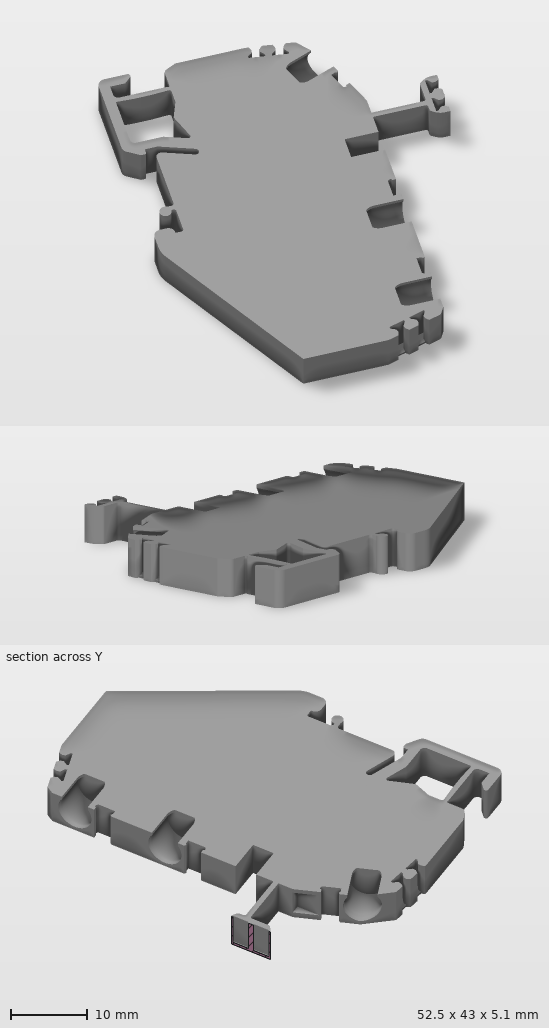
import cadquery as cq
import math

length = 52.5
height = 43.0
thickness = 5.1

top_y = 33.0
rail_y = 3.95
left_shelf_y = 8.9
foot_wall = 1.42
left_bevel_y = 10.65
left_bevel_x = 0.85

outer_radius = 1.0
edge_radius = 0.5
inner_radius = 0.65
small_radius = 0.3
lip_radius = 0.2

shoulder_end_x = 12.9
shoulder_start = (4.55, 29.8)
shoulder_tilt = math.degrees(math.atan2(top_y - shoulder_start[1], shoulder_end_x - shoulder_start[0]))

left_edge_bottom = (0.0, 20.5)
left_edge_top = (0.9, 26.75)
left_edge_blend = 12.0
right_edge_top = (50.2, 32.35)
right_edge_bottom = (length, 24.6)
right_bevel_x = 49.1

arm_slope = math.tan(math.radians(20.5))
arm_inner_x = 11.43
arm_inner_bend_y = 5.75
arm_outer_x = 12.83
arm_outer_bend_y = 4.6
arm_lip_x = 13.63
arm_lip_y = 2.85
arm_lip_bottom_y = 2.1
arm_toe_x = 12.25
arm_root_y = 9.4
gap_right_x = 13.6
gap_end_y = 9.56
gap_end_radius = 0.47
gap_mouth_radius = 0.7
hook_tip_width = 0.5
hook_top_y = 4.45
hook_shoulder_y = 3.48
window_peak = (8.7, 7.95)
window_ridge_x = 6.25
strap_left_x = 3.5
strap_right_x = 4.12
strap_bulge = 0.14
strap_relief = 0.17
strap_relief_height = 0.35
strap_relief_radius = 0.15

claw_x = 26.4
claw_throat_x = 27.45
claw_top_y = 2.82
claw_top_radius = 0.9
underside_start_x = 30.1
underside_blend = 3.5
underside_end_y = 13.0
knob_x = 23.62
knob_y = 2.57
knob_radius = 0.8
knob_neck_left = 22.92
knob_neck_right = 23.6
knob_neck_fillet = 0.35

stem_left = 15.05
stem_right = 15.8
stem_sink = 0.5
head_left = 11.27
head_right = 17.63
head_bottom_y = 40.42
head_side_y = 41.55
head_corner = 0.8
head_side_radius = 2.1

slot_left = 18.4
slot_right = 21.5
slot_floor_y = 28.4

bore_radius = 2.5
bore_z = 3.07
bore_depth = 5.2
slit_half_width = 1.95
slit_end_half_width = 1.5
slit_curve_length = 1.2
bore_overshoot = 1.5
bore_xs = (32.15, 45.7)
shoulder_bore_x = 4.35

snap_spacing = 4.17
snap_half_width = 1.27
snap_depth = 1.11
snap_ridge = 0.2
snap_ridge_depth = 0.25
snap_groove_depth = 0.75
snap_groove_half = 0.25

marker_mouth_half = 0.85
marker_neck_half = 0.55
marker_mouth_depth = 0.5
marker_neck_depth = 0.97
marker_wide_half = 1.12
marker_wide_depth = 1.5
marker_depth = 1.78
marker_floor_z = 0.5
marker_sill_z = 0.3
head_marker_xs = (12.9, 16.0)
left_marker_ys = (24.57, 21.47)
right_marker_ys = (29.82, 26.85)

cut_overshoot = 0.3

recess_floor_y = 31.75
recess_bottom_z = 0.85
recess_top_z = 4.45


def rounded_wire(corners):
    """Closed polygon through (x, y, radius) corners, each rounded with a tangent arc."""
    cuts = []
    for index, (x, y, radius) in enumerate(corners):
        corner = cq.Vector(x, y)
        before = (cq.Vector(*corners[index - 1][:2]) - corner).normalized()
        after = (cq.Vector(*corners[(index + 1) % len(corners)][:2]) - corner).normalized()
        half_angle = before.getAngle(after) / 2
        reach = radius / math.tan(half_angle)
        bisector = (before + after).normalized()
        middle = corner + bisector * (radius / math.sin(half_angle) - radius)
        cuts.append((corner + before * reach, middle, corner + after * reach, radius))
    outline = cq.Workplane("XY").moveTo(*cuts[0][2].toTuple()[:2])
    for start, middle, end, radius in cuts[1:] + cuts[:1]:
        outline = outline.lineTo(start.x, start.y)
        if radius > 0:
            outline = outline.threePointArc((middle.x, middle.y), (end.x, end.y))
    return outline.close()


def on_edge(start, end, y):
    """X on the straight edge from start to end at height y."""
    return start[0] + (end[0] - start[0]) * (y - start[1]) / (end[1] - start[1])


def placed(shape, x, y, turn):
    """Move a cutter drawn with its edge on the X axis, material below, to an edge point."""
    return shape.rotate((0, 0, 0), (0, 0, 1), turn).translate((x, y, 0))


def housing():
    gap_shift = arm_slope * (gap_end_y - arm_outer_bend_y)
    corners = [
        (hook_tip_width, hook_top_y, 0),
        (0, hook_top_y, small_radius),
        (0, 0, outer_radius),
        (arm_toe_x, 0, outer_radius),
        (arm_lip_x, arm_lip_bottom_y, lip_radius),
        (arm_lip_x, arm_lip_y, lip_radius),
        (arm_outer_x, arm_lip_y, 0),
        (arm_outer_x, arm_outer_bend_y, 0),
        (arm_outer_x + gap_shift, gap_end_y, gap_end_radius),
        (gap_right_x + arm_slope * (gap_end_y - rail_y), gap_end_y, gap_end_radius),
        (gap_right_x, rail_y, gap_mouth_radius),
        (claw_throat_x, rail_y, small_radius),
        (claw_throat_x, claw_top_y, 0),
        (claw_x, claw_top_y, claw_top_radius),
        (claw_x, 0, outer_radius),
        (underside_start_x, 0, underside_blend),
        (length, underside_end_y, 0),
        (*right_edge_bottom, 0),
        (*right_edge_top, edge_radius),
        (right_bevel_x, top_y, 0),
        (shoulder_end_x, top_y, 0),
        (*shoulder_start, 0),
        (*left_edge_top, small_radius),
        (*left_edge_bottom, left_edge_blend),
        (0, left_bevel_y, edge_radius),
        (left_bevel_x, left_shelf_y, inner_radius),
        (strap_left_x + strap_relief, left_shelf_y, strap_relief_radius),
        (strap_left_x, left_shelf_y - strap_relief_height, 0),
        (strap_left_x, foot_wall, inner_radius),
        (foot_wall, foot_wall, 0),
        (foot_wall, hook_shoulder_y, 0),
    ]
    return rounded_wire(corners).extrude(thickness)


def foot_window():
    """Through window between strap and arm; its strap side bows slightly inwards."""
    arm_root_x = arm_inner_x + arm_slope * (arm_root_y - arm_inner_bend_y)
    corners = [
        (strap_right_x, left_shelf_y, small_radius),
        (strap_right_x, foot_wall, 0),
        (arm_inner_x, foot_wall, inner_radius),
        (arm_inner_x, arm_inner_bend_y, 0),
        (arm_root_x, arm_root_y, small_radius),
        (*window_peak, small_radius),
        (window_ridge_x, left_shelf_y, 0),
    ]
    bulge = (
        cq.Workplane("XY")
        .moveTo(strap_right_x, left_shelf_y - small_radius)
        .threePointArc(
            (strap_right_x + strap_bulge, (left_shelf_y + foot_wall) / 2),
            (strap_right_x, foot_wall),
        )
        .close()
        .extrude(thickness)
    )
    return rounded_wire(corners).extrude(thickness).cut(bulge)


def snap_knob():
    fillet = knob_neck_fillet
    bend = fillet * (1 - math.sqrt(0.5))
    neck = (
        cq.Workplane("XY")
        .moveTo(knob_neck_left - fillet, rail_y)
        .threePointArc((knob_neck_left - bend, rail_y - bend), (knob_neck_left, rail_y - fillet))
        .lineTo(knob_neck_left, knob_y)
        .lineTo(knob_neck_right, knob_y)
        .lineTo(knob_neck_right, rail_y - fillet)
        .threePointArc((knob_neck_right + bend, rail_y - bend), (knob_neck_right + fillet, rail_y))
        .close()
        .extrude(thickness)
    )
    knob = cq.Workplane("XY").center(knob_x, knob_y).circle(knob_radius).extrude(thickness)
    return neck.union(knob)


def marker_head():
    root_y = top_y - stem_sink
    corners = [
        (stem_left, root_y, 0),
        (stem_right, root_y, 0),
        (stem_right, head_bottom_y, small_radius),
        (head_right - head_corner, head_bottom_y, small_radius),
        (head_right, head_side_y, head_side_radius),
        (head_right, height, 0),
        (head_left, height, 0),
        (head_left, head_side_y, head_side_radius),
        (head_left + head_corner, head_bottom_y, small_radius),
        (stem_left, head_bottom_y, small_radius),
    ]
    return rounded_wire(corners).extrude(thickness)


def open_slot():
    width = slot_right - slot_left
    depth = top_y - slot_floor_y
    cutter = cq.Workplane("XY").box(width, depth, thickness, centered=False)
    return cutter.translate((slot_left, slot_floor_y, 0))


def wire_entry():
    bore = (
        cq.Workplane("XZ", origin=(0, bore_overshoot, bore_z))
        .circle(bore_radius)
        .extrude(bore_overshoot + bore_depth)
    )
    rim_z = bore_z + math.sqrt(bore_radius ** 2 - slit_half_width ** 2)
    below_rim = cq.Workplane("XY").box(4 * bore_radius, 4 * bore_depth, rim_z, centered=(True, True, False))
    curve_start = slit_curve_length - bore_depth
    slit = (
        cq.Workplane("XY", origin=(0, 0, bore_z))
        .moveTo(0, bore_overshoot)
        .lineTo(slit_half_width, bore_overshoot)
        .lineTo(slit_half_width, curve_start)
        .tangentArcPoint((slit_end_half_width, -bore_depth), relative=False)
        .lineTo(0, -bore_depth)
        .mirrorY()
        .extrude(thickness - bore_z)
    )
    return bore.intersect(below_rim).union(slit)


def snap_notch(groove_side):
    """Notch with a groove in the wall at groove_side (-1 left, +1 right) and a ridge opposite."""
    groove = groove_side * snap_half_width
    ridge = -groove
    points = [
        (ridge, 0),
        (ridge + groove_side * snap_ridge, -snap_ridge_depth),
        (ridge, -2 * snap_ridge_depth),
        (ridge, -snap_depth),
        (groove, -snap_depth),
        (groove + groove_side * snap_ridge, -snap_groove_depth - snap_groove_half / 2),
        (groove + groove_side * snap_ridge, -snap_groove_depth + snap_groove_half / 2),
        (groove, -snap_groove_depth + snap_groove_half),
        (groove, cut_overshoot),
        (ridge, cut_overshoot),
    ]
    return cq.Workplane("XY").polyline(points).close().extrude(thickness)


def marker_notch():
    """Dovetail notch: the mouth goes through, neck and dovetail stop at a floor."""
    slope = (marker_mouth_half - marker_neck_half) / marker_mouth_depth
    flare_half = marker_mouth_half + slope * cut_overshoot
    mouth = (
        cq.Workplane("XY")
        .polyline([
            (-flare_half, cut_overshoot),
            (-marker_neck_half, -marker_mouth_depth),
            (marker_neck_half, -marker_mouth_depth),
            (flare_half, cut_overshoot),
        ])
        .close()
        .extrude(thickness)
    )
    dovetail = (
        cq.Workplane("XY", origin=(0, 0, marker_floor_z))
        .polyline([
            (-marker_neck_half, -marker_neck_depth),
            (-marker_wide_half, -marker_wide_depth),
            (-marker_wide_half, -marker_depth),
            (marker_wide_half, -marker_depth),
            (marker_wide_half, -marker_wide_depth),
            (marker_neck_half, -marker_neck_depth),
        ])
        .close()
        .extrude(thickness - marker_floor_z)
    )
    neck = (
        cq.Workplane("YZ", origin=(-marker_neck_half, 0, 0))
        .polyline([
            (-marker_mouth_depth, marker_sill_z),
            (-marker_neck_depth, marker_floor_z),
            (-marker_neck_depth, thickness),
            (-marker_mouth_depth, thickness),
        ])
        .close()
        .extrude(2 * marker_neck_half)
    )
    return mouth.union(neck).union(dovetail)


def shoulder_recess():
    """Step hidden between the two faces, cut back to the end of the shoulder."""
    start_x = shoulder_end_x - (top_y - recess_floor_y) / math.tan(math.radians(shoulder_tilt))
    return (
        cq.Workplane("XY", origin=(0, 0, recess_bottom_z))
        .polyline([(start_x, recess_floor_y), (shoulder_end_x, recess_floor_y), (shoulder_end_x, top_y)])
        .close()
        .extrude(recess_top_z - recess_bottom_z)
    )


def shoulder_y(x):
    return top_y - (shoulder_end_x - x) * math.tan(math.radians(shoulder_tilt))


result = housing().cut(foot_window()).union(snap_knob()).union(marker_head())
result = result.cut(open_slot()).cut(shoulder_recess())

for bore_x, groove_side in zip(bore_xs, (-1, 1)):
    result = result.cut(placed(wire_entry(), bore_x, top_y, 0))
    result = result.cut(placed(snap_notch(groove_side), bore_x - snap_spacing, top_y, 0))

shoulder_snap_x = shoulder_bore_x + snap_spacing * math.cos(math.radians(shoulder_tilt))
result = result.cut(placed(wire_entry(), shoulder_bore_x, shoulder_y(shoulder_bore_x), shoulder_tilt))
result = result.cut(placed(snap_notch(1), shoulder_snap_x, shoulder_y(shoulder_snap_x), shoulder_tilt))

for marker_x in head_marker_xs:
    result = result.cut(placed(marker_notch(), marker_x, height, 0))

for edge, marker_ys, outward in (
    ((left_edge_bottom, left_edge_top), left_marker_ys, 90),
    ((right_edge_bottom, right_edge_top), right_marker_ys, -90),
):
    (low_x, low_y), (high_x, high_y) = edge
    lean = math.degrees(math.atan2(high_x - low_x, high_y - low_y))
    for marker_y in marker_ys:
        result = result.cut(placed(marker_notch(), on_edge(*edge, marker_y), marker_y, outward - lean))